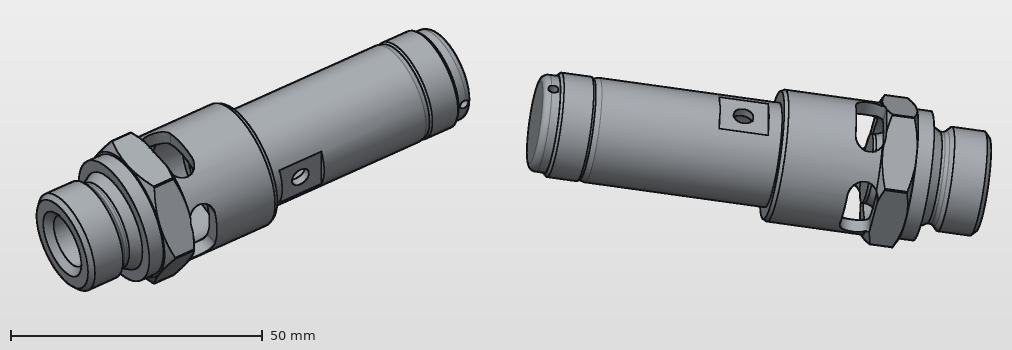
import cadquery as cq
import math


thread_end = 7.6
neck_end = 9.9
seal_face = 12.2
hex_bottom = 15.5
hex_height = 7.0
hex_top = hex_bottom + hex_height
slot_bottom = 22.0
slot_height = 6.0
slot_middle = slot_bottom + slot_height / 2
body_top = 42.5
flat_middle = 50.1
cap_joint = 80.1
cap_shoulder = 87.2
overall_length = 90.5

thread_radius = 10.5
thread_chamfer = 1.0
neck_radius = 9.25
neck_fillet = 1.2
neck_cone_angle = math.radians(45)
flange_radius = 13.0
hex_across_flats = 27.0
hex_corner_diameter = 31.0
hex_chamfer_angle = math.radians(30)
sleeve_radius = 13.25
sleeve_chamfer_length = 0.8
sleeve_chamfer_depth = 0.4
inlet_radius = 5.5
inlet_chamfer = 1.5
chamber_radius = 10.5
slot_width = 14.0
nozzle_radius = 7.0
nozzle_top = 22.8
nozzle_fillet = 2.9

bonnet_radius = chamber_radius
bonnet_bore_radius = 7.9
bonnet_mouth_radius = 8.5
bonnet_mouth_depth = 10.0
bonnet_end = 35.0
joint_chamfer_below = 1.1
joint_depth = 0.3
flat_across = 19.0
flat_length = 9.9
vent_diameter = 4.0

cap_tip_radius = 9.75
cap_tip_rounding = 1.5
cap_edge_chamfer = 0.6
joint_chamfer_above = 0.5
cap_pin_hole_diameter = 2.0
cap_pin_hole_y = 88.6

disc_thickness = 0.6


def turned(outline):
    """Revolve a closed (radius, y) outline about the Y axis."""
    return outline.close().revolve(360, (0, 0), (0, 1))


def round_bar(radius, y_low, y_high):
    """Round bar along Y between two heights."""
    return cq.Workplane("XZ", origin=(0, y_low, 0)).circle(radius).extrude(y_low - y_high)


def cross_hole(diameter, y):
    """Cutter for a hole along X through the whole part."""
    return cq.Workplane("YZ").center(y, 0).circle(diameter / 2).extrude(flange_radius, both=True)


def make_hex():
    """Hexagon with flats on top and bottom and both ends chamfered at 30 degrees."""
    corner_circle = hex_across_flats / math.cos(math.pi / 6)
    prism = (
        cq.Workplane("XZ", origin=(0, hex_bottom, 0))
        .polygon(6, corner_circle)
        .extrude(-hex_height)
    )
    corner_radius = hex_corner_diameter / 2
    low_radius = hex_across_flats / 2
    low_drop = (corner_radius - low_radius) * math.tan(hex_chamfer_angle)
    high_drop = (corner_radius - sleeve_radius) * math.tan(hex_chamfer_angle)
    envelope = turned(
        cq.Workplane("XY")
        .moveTo(0, hex_bottom)
        .lineTo(low_radius, hex_bottom)
        .lineTo(corner_radius, hex_bottom + low_drop)
        .lineTo(corner_radius, hex_top - high_drop)
        .lineTo(sleeve_radius, hex_top)
        .lineTo(0, hex_top)
    )
    return prism.intersect(envelope)


def make_body():
    fillet_end_radius = neck_radius + neck_fillet * (1 - math.cos(neck_cone_angle))
    fillet_end = thread_end + (thread_radius - fillet_end_radius) / math.tan(neck_cone_angle)
    fillet_length = neck_fillet * math.sin(neck_cone_angle)
    shell = turned(
        cq.Workplane("XY")
        .moveTo(0, 0)
        .lineTo(thread_radius - thread_chamfer, 0)
        .lineTo(thread_radius, thread_chamfer)
        .lineTo(thread_radius, thread_end)
        .lineTo(fillet_end_radius, fillet_end)
        .radiusArc((neck_radius, fillet_end + fillet_length), neck_fillet)
        .lineTo(neck_radius, neck_end)
        .lineTo(thread_radius, seal_face)
        .lineTo(flange_radius, seal_face)
        .lineTo(flange_radius, hex_bottom)
        .lineTo(sleeve_radius, hex_bottom)
        .lineTo(sleeve_radius, body_top - sleeve_chamfer_length)
        .lineTo(sleeve_radius - sleeve_chamfer_depth, body_top)
        .lineTo(0, body_top)
    )
    passage = turned(
        cq.Workplane("XY")
        .moveTo(0, 0)
        .lineTo(inlet_radius + inlet_chamfer, 0)
        .lineTo(inlet_radius, inlet_chamfer)
        .lineTo(inlet_radius, nozzle_top)
        .lineTo(nozzle_radius, nozzle_top)
        .radiusArc((nozzle_radius + nozzle_fillet, nozzle_top - nozzle_fillet), -nozzle_fillet)
        .lineTo(chamber_radius, nozzle_top - nozzle_fillet)
        .lineTo(chamber_radius, body_top)
        .lineTo(0, body_top)
    )
    body = shell.union(make_hex()).cut(passage)
    slot = (
        cq.Workplane("XY")
        .center(0, slot_middle)
        .slot2D(slot_width, slot_height)
        .extrude(hex_corner_diameter, both=True)
        .cut(round_bar(chamber_radius, hex_bottom, body_top))
    )
    for angle in (0, 90):
        body = body.cut(slot.rotate((0, 0, 0), (0, 1, 0), angle))
    return body


def make_bonnet():
    mouth_top = bonnet_end + bonnet_mouth_depth
    bonnet = turned(
        cq.Workplane("XY")
        .moveTo(bonnet_mouth_radius, bonnet_end)
        .lineTo(bonnet_radius, bonnet_end)
        .lineTo(bonnet_radius, cap_joint - joint_chamfer_below)
        .lineTo(bonnet_radius - joint_depth, cap_joint)
        .lineTo(bonnet_bore_radius, cap_joint)
        .lineTo(bonnet_bore_radius, mouth_top)
        .lineTo(bonnet_mouth_radius, mouth_top)
    )
    flat_side = cq.Workplane("XY").box(bonnet_radius, flat_length, 2 * bonnet_radius)
    for side in (-1, 1):
        shift = side * (flat_across + bonnet_radius) / 2
        bonnet = bonnet.cut(flat_side.translate((shift, flat_middle, 0)))
    return bonnet.cut(cross_hole(vent_diameter, flat_middle))


def make_cap():
    cap = turned(
        cq.Workplane("XY")
        .moveTo(0, cap_joint)
        .lineTo(bonnet_radius - joint_depth, cap_joint)
        .lineTo(bonnet_radius, cap_joint + joint_chamfer_above)
        .lineTo(bonnet_radius, cap_shoulder - cap_edge_chamfer)
        .lineTo(bonnet_radius - cap_edge_chamfer, cap_shoulder)
        .lineTo(cap_tip_radius, cap_shoulder)
        .lineTo(cap_tip_radius, overall_length - cap_tip_rounding)
        .radiusArc((cap_tip_radius - cap_tip_rounding, overall_length), -cap_tip_rounding)
        .lineTo(0, overall_length)
    )
    return cap.cut(cross_hole(cap_pin_hole_diameter, cap_pin_hole_y))


def make_disc():
    """Valve plate lying on the nozzle rim."""
    return round_bar(nozzle_radius, nozzle_top, nozzle_top + disc_thickness)


body = make_body()
bonnet = make_bonnet()
cap = make_cap()
disc = make_disc()

result = cq.Compound.makeCompound([body.val(), bonnet.val(), cap.val(), disc.val()])